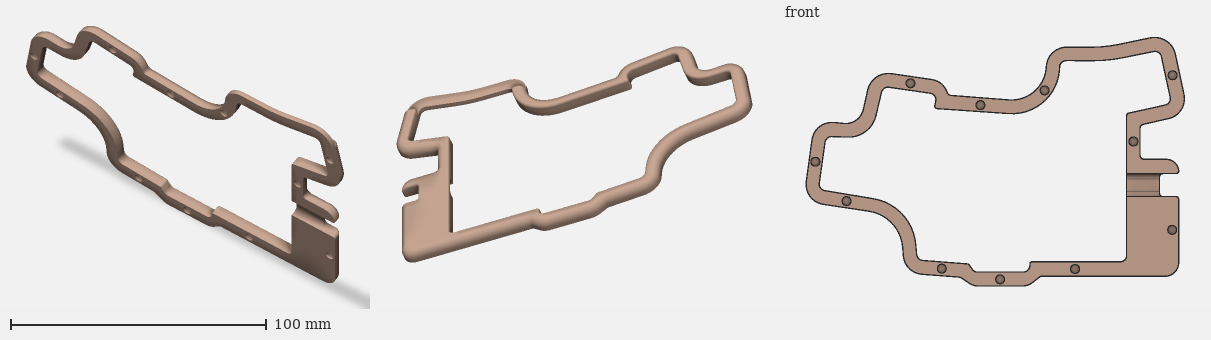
import cadquery as cq
import math

thickness = 5.0
plate_thickness = 2.0
rear_layer_thickness = thickness - plate_thickness
outer_rim_radius = rear_layer_thickness
inner_rim_radius = 1.0

panel_right = 145.8
panel_bottom = 3.8
panel_corner_radius = 5.5

channel_bottom = 35.07
channel_top = 43.95
channel_end = 138.3
channel_corner_radius = 1.2
mouth_radius = 1.2
groove_depth = 3.5
groove_radius = 2.0

relief_left_z = 85.45
relief_right_point = (145.0, 90.5)
relief_right_slope = math.radians(12.0)
relief_corner_radius = 1.0

hole_diameter = 3.5
hole_depth = 3.0

frame_corner_radius = 8.0
opening_corner_radius = 2.5
opening_right = 125.33
opening_bottom = 9.58
step_right = 87.5
step_bottom = 5.57
upper_edge = 93.48
finger_left = 130.7
finger_top = 49.65

tolerance = 0.001

outer_corners = [
    (-1.01, 33.10, frame_corner_radius),
    (3.35, 64.85, frame_corner_radius),
    (21.00, 63.00, 7.0),
    (25.80, 84.25, 8.4),
    (53.50, 80.20, 7.5),
    (55.65, 74.70, 1.5),
    (92.45, 71.85, 13.5),
    (94.75, upper_edge, frame_corner_radius),
    (117.05, upper_edge, 51.0),
    (142.75, 98.83, 8.4),
    (149.50, 67.25, frame_corner_radius),
    (finger_left, 62.95, 1.5),
    (finger_left, finger_top, 1.5),
    (panel_right, finger_top, 5.0),
    (panel_right, panel_bottom, panel_corner_radius),
    (91.70, panel_bottom, 1.0),
    (86.85, 0.0, 6.5),
    (65.40, 0.0, 6.5),
    (60.40, 3.45, 3.0),
    (38.50, 5.10, frame_corner_radius),
    (36.90, 27.40, 15.5),
]

opening_corners = [
    (4.90, 37.80, opening_corner_radius),
    (7.80, 58.50, opening_corner_radius),
    (25.35, 57.95, 11.0),
    (30.10, 78.05, opening_corner_radius),
    (51.25, 75.00, opening_corner_radius),
    (50.10, 69.45, 1.0),
    (99.95, 66.00, 18.6),
    (99.15, 88.15, opening_corner_radius),
    (118.10, 88.10, 56.0),
    (138.40, 92.20, opening_corner_radius),
    (142.90, 71.40, opening_corner_radius),
    (opening_right, 67.50, 1.0),
    (opening_right, opening_bottom, 2.4),
    (step_right, opening_bottom, 1.0),
    (step_right, step_bottom, 2.5),
    (65.80, step_bottom, 2.0),
    (63.60, 8.70, 1.0),
    (43.50, 10.25, opening_corner_radius),
    (41.65, 31.70, 20.0),
]

hole_centers = [
    (3.65, 48.65),
    (15.85, 33.25),
    (40.85, 79.30),
    (68.20, 70.80),
    (93.30, 76.55),
    (143.35, 82.45),
    (128.05, 56.55),
    (143.20, 22.00),
    (53.10, 6.85),
    (75.90, 2.65),
    (105.20, 6.70),
]


def rounded_outline(corners):
    """Closed XZ wire with straight sides and an arc of the given radius at each corner."""
    arcs = []
    for i, (x, z, radius) in enumerate(corners):
        corner = cq.Vector(x, z)
        before = (cq.Vector(*corners[i - 1][:2]) - corner).normalized()
        after = (cq.Vector(*corners[(i + 1) % len(corners)][:2]) - corner).normalized()
        half_angle = before.getAngle(after) / 2
        tangent_length = radius / math.tan(half_angle)
        bisector = (before + after).normalized()
        to_middle = radius / math.sin(half_angle) - radius
        arcs.append((
            corner + before * tangent_length,
            corner + bisector * to_middle,
            corner + after * tangent_length,
        ))
    first_start = arcs[0][0]
    outline = cq.Workplane("XZ").moveTo(first_start.x, first_start.y)
    for i, (start, middle, end) in enumerate(arcs):
        if i:
            outline = outline.lineTo(start.x, start.y)
        outline = outline.threePointArc(middle.toTuple()[:2], end.toTuple()[:2])
    return outline.close()


def prism(outline, start, depth):
    """Block over a closed XZ outline, from Y = start back to Y = start + depth."""
    return outline.extrude(-depth).translate((0, start, 0))


def channel_outline():
    """Channel with rounded inner corners and a mouth flared by an arc on each side."""
    beyond = panel_right + 10.0
    flare_start = panel_right - mouth_radius
    corner_x = channel_end + channel_corner_radius
    return (
        cq.Workplane("XZ")
        .moveTo(beyond, channel_bottom - mouth_radius)
        .lineTo(panel_right, channel_bottom - mouth_radius)
        .radiusArc((flare_start, channel_bottom), -mouth_radius)
        .lineTo(corner_x, channel_bottom)
        .radiusArc((channel_end, channel_bottom + channel_corner_radius), channel_corner_radius)
        .lineTo(channel_end, channel_top - channel_corner_radius)
        .radiusArc((corner_x, channel_top), channel_corner_radius)
        .lineTo(flare_start, channel_top)
        .radiusArc((panel_right, channel_top + mouth_radius), -mouth_radius)
        .lineTo(beyond, channel_top + mouth_radius)
        .close()
    )


def relief_outline():
    """Region above the two cuts; between the branches it runs inside the opening."""
    left, right, top = 75.0, 160.0, 120.0
    inside_x, inside_z = 110.0, 80.0
    cut_start_x = 135.0

    def right_cut(x):
        cut_x, cut_z = relief_right_point
        return (x, cut_z + (x - cut_x) * math.tan(relief_right_slope))

    return (
        cq.Workplane("XZ")
        .moveTo(left, relief_left_z)
        .lineTo(inside_x, relief_left_z)
        .lineTo(inside_x, inside_z)
        .lineTo(cut_start_x, inside_z)
        .lineTo(*right_cut(cut_start_x))
        .lineTo(*right_cut(right))
        .lineTo(right, top)
        .lineTo(left, top)
        .close()
    )


def front_plate():
    """Square-edged front layer of the frame."""
    plate = prism(rounded_outline(outer_corners), 0, plate_thickness)
    plate = plate.cut(prism(rounded_outline(opening_corners), 0, plate_thickness))
    return plate.cut(prism(channel_outline(), 0, plate_thickness))


def rear_layer():
    """Rear layer: outer rim fully rounded, relief cut away, every inner rim rounded."""
    blank = prism(rounded_outline(outer_corners), 0, thickness)
    blank = blank.faces(">Y").edges().fillet(outer_rim_radius)
    layer = blank.cut(prism(rounded_outline(outer_corners), 0, plate_thickness))

    cutter = prism(rounded_outline(opening_corners), plate_thickness, rear_layer_thickness)
    for outline in (relief_outline(), channel_outline()):
        cutter = cutter.union(prism(outline, plate_thickness, rear_layer_thickness))
    layer = layer.cut(cutter)

    layer = layer.edges("|Y").filter(
        lambda edge: edge.Center().z >= relief_left_z and edge.Length() > rear_layer_thickness - tolerance
    ).fillet(relief_corner_radius)

    def on_inner_rim(edge):
        middle = edge.positionAt(0.5)
        touches_cutter = cutter.val().distance(cq.Vertex.makeVertex(*middle.toTuple())) < tolerance
        return middle.y > plate_thickness + tolerance and touches_cutter

    return layer.edges("not |Y").filter(on_inner_rim).fillet(inner_rim_radius)


def groove():
    """Cross groove from the opening to the channel, its floor blending into both walls."""
    overrun = 2.0
    length = channel_end - opening_right + 2 * overrun
    return (
        cq.Workplane("XY")
        .box(length, groove_depth + overrun, channel_top - channel_bottom, centered=False)
        .translate((opening_right - overrun, -overrun, channel_bottom))
        .edges("|X and >Y")
        .fillet(groove_radius)
    )


def holes():
    """Blind holes drilled from the front face."""
    return cq.Workplane("XZ").pushPoints(hole_centers).circle(hole_diameter / 2).extrude(-hole_depth)


result = front_plate().union(rear_layer()).cut(groove()).cut(holes()).solids()